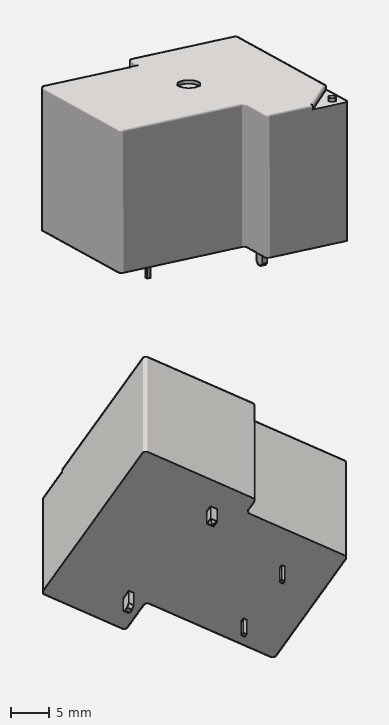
import cadquery as cq

WIDTH = 27.4
LENGTH = 31.81
HEIGHT = 20.0
X_MIN, X_MAX = -WIDTH / 2, WIDTH / 2
Y_MIN, Y_MAX = -LENGTH / 2, LENGTH / 2

LEFT_WING_REACH = 2.5
LEFT_WING_DEPTH = 16.7
RIGHT_WING_REACH = 5.35
RIGHT_WING_DEPTH = 12.6
CORNER_RADIUS = 0.5
TOP_RADIUS = 0.35

NOTCH_LEG = 5.5
NOTCH_DEPTH = 0.7
STUD_DIAMETER = 1.0
STUD_HEIGHT = 0.5
STUD_INSET = 1.55

RECESS_DIAMETER = 3.0
RECESS_DEPTH = 0.5
RECESS_FROM_BACK = 15.1

PIN_LENGTH = 3.0
PIN_TIP = 0.45
SQUARE_PIN_SIZE = 1.0
SQUARE_PIN_CENTER = (-9.3, 3.3)
BLADE_WIDTH = 1.5
BLADE_THICKNESS = 0.75
BLADE_CENTER = (8.5, 5.8)
THIN_PIN_SIZE = 0.5
THIN_PIN_PITCH = 10.2
THIN_PIN_MIDDLE_X = -0.4
THIN_PIN_Y = -9.35

NARROW_LEFT = X_MIN + LEFT_WING_REACH
NARROW_RIGHT = X_MAX - RIGHT_WING_REACH
RECESS_CENTER = ((NARROW_LEFT + NARROW_RIGHT) / 2, Y_MAX - RECESS_FROM_BACK)


def make_housing():
    """T-shaped block with rounded uprights, a lowered corner and a rounded top rim."""
    outline = [
        (NARROW_LEFT, Y_MIN),
        (NARROW_RIGHT, Y_MIN),
        (NARROW_RIGHT, Y_MAX - RIGHT_WING_DEPTH),
        (X_MAX, Y_MAX - RIGHT_WING_DEPTH),
        (X_MAX, Y_MAX),
        (X_MIN, Y_MAX),
        (X_MIN, Y_MAX - LEFT_WING_DEPTH),
        (NARROW_LEFT, Y_MAX - LEFT_WING_DEPTH),
    ]
    block = cq.Workplane("XY").polyline(outline).close().extrude(HEIGHT)
    block = block.edges("|Z").fillet(CORNER_RADIUS)
    notch = (
        cq.Workplane("XY", origin=(X_MAX, Y_MAX, HEIGHT))
        .polyline([(-NOTCH_LEG, 0), (0, 0), (0, -NOTCH_LEG)])
        .close()
        .extrude(-NOTCH_DEPTH)
    )
    return block.cut(notch).faces(">Z").edges().fillet(TOP_RADIUS)


def make_stud():
    """Round stud standing on the floor of the lowered corner."""
    floor = HEIGHT - NOTCH_DEPTH
    center = (X_MAX - STUD_INSET, Y_MAX - STUD_INSET, floor)
    return cq.Workplane("XY", origin=center).circle(STUD_DIAMETER / 2).extrude(STUD_HEIGHT)


def make_recess():
    """Disc removed from the top face."""
    center = (*RECESS_CENTER, HEIGHT)
    return cq.Workplane("XY", origin=center).circle(RECESS_DIAMETER / 2).extrude(-RECESS_DEPTH)


def make_pin(center, size_x, size_y):
    """Rectangular pin hanging from the mounting face, with a plain end."""
    return cq.Workplane("XY", origin=(*center, 0)).rect(size_x, size_y).extrude(-PIN_LENGTH)


def make_pins():
    """Square pin with a four-sided tip, blade with cut corners, and two thin pins."""
    square = make_pin(SQUARE_PIN_CENTER, SQUARE_PIN_SIZE, SQUARE_PIN_SIZE)
    square = square.faces("<Z").edges().chamfer(PIN_TIP)
    blade = make_pin(BLADE_CENTER, BLADE_WIDTH, BLADE_THICKNESS)
    blade = blade.faces("<Z").edges("|Y").chamfer(PIN_TIP)
    pins = [square, blade]
    for side in (-1, 1):
        center = (THIN_PIN_MIDDLE_X + side * THIN_PIN_PITCH / 2, THIN_PIN_Y)
        pins.append(make_pin(center, THIN_PIN_SIZE, THIN_PIN_SIZE))
    return pins


result = make_housing().union(make_stud()).cut(make_recess())
for pin in make_pins():
    result = result.union(pin)